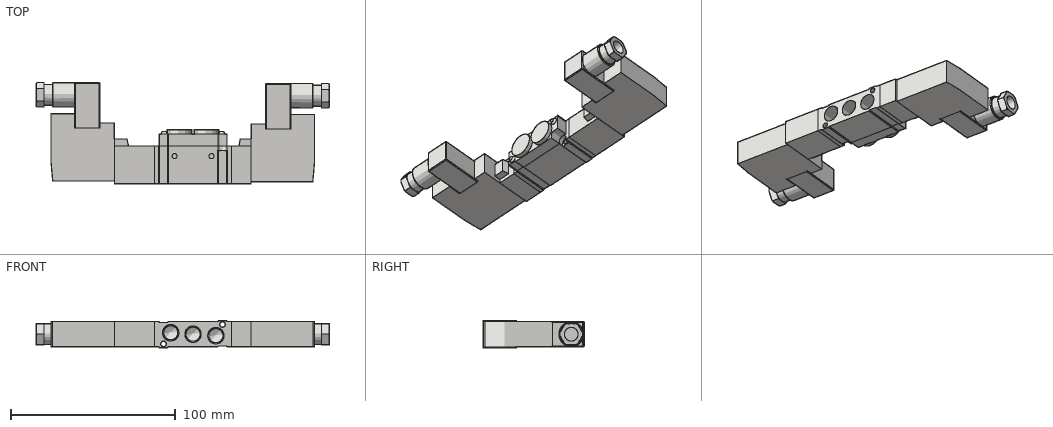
import cadquery as cq
import math


length = 177.8
thickness = 15.5
half_thickness = thickness / 2
edge_chamfer = 0.5

body_length = 46.8
body_depth = 23.1
body_center_x = 6.2
body_left = body_center_x - body_length / 2
body_right = body_center_x + body_length / 2

lug_step = 0.5
lug_inner = 15.0
lug_outer = 20.8
lug_middle = (lug_inner + lug_outer) / 2
lug_depth = 20.3
mount_hole_diameter = 3.2
mount_hole_z = 5.9
head_slot_radius = 2.7

port_offsets = [(-13.5, 0.9), (0.0, 0.0), (13.9, -0.9)]
port_diameter = 10.0
port_depth = 10.7
drill_point_diameter = 8.5
drill_point_angle = 118.0

pin_hole_diameter = 3.0
pin_hole_depth = 1.8
pin_hole_spacing = 22.4
pin_hole_y = 16.9

cover_length = 41.2
cover_depth = 7.1
cover_back = body_depth + cover_depth
boss_diameter = 15.0
boss_height = 2.7
boss_spacing = 16.4
screw_offset_x = 17.5
screw_z = 4.5
screw_base_radius = 2.1
screw_top_radius = 1.2
screw_height = 1.6

solenoid_inner = 41.5
solenoid_outer = 80.0
solenoid_front = 1.8
solenoid_low_back = 37.0
solenoid_high_back = 42.7
taper_back = 13.9
taper_inset = 1.0
right_shift_y = -0.5

override_back = 27.4
override_half_height = 4.8
override_slope = 0.9
left_override_length = 8.5
right_override_length = 7.5

connector_inner = 50.1
connector_outer = 65.6
connector_front = 33.8
connector_back = 61.5
barrel_end = 79.1
barrel_diameter = 15.0
barrel_y = connector_back - barrel_diameter / 2

hex_start = 84.1
gland_end = length / 2
gland_neck_diameter = 12.8
hex_across_flats = 13.0
gland_bore_diameter = 8.4


def box(x_range, y_range, z_range):
    """Axis-aligned box between the given limits."""
    size = [high - low for low, high in (x_range, y_range, z_range)]
    corner = (x_range[0], y_range[0], z_range[0])
    return cq.Workplane("XY").box(*size, centered=False).translate(corner)


def full_height_block(x_range, y_range):
    return box(x_range, y_range, (-half_thickness, half_thickness))


def cylinder_along_y(x, z, diameter, y_start, y_end):
    solid = cq.Solid.makeCylinder(diameter / 2, y_end - y_start, cq.Vector(x, y_start, z), cq.Vector(0, 1, 0))
    return cq.Workplane(solid)


def cylinder_along_x(y, diameter, x_start, x_end):
    solid = cq.Solid.makeCylinder(diameter / 2, x_end - x_start, cq.Vector(x_start, y, 0), cq.Vector(1, 0, 0))
    return cq.Workplane(solid)


def half_turn(part):
    """Turn a feature of the right lug into the matching feature of the left lug."""
    return part.rotate((body_center_x, 0, 0), (body_center_x, 1, 0), 180)


def raised_strip(foot_z, y_range):
    """Strip along Y that rises from foot_z by the lug step, with 45 degree sides."""
    profile = [
        (lug_inner, foot_z),
        (lug_inner + lug_step, foot_z + lug_step),
        (lug_outer - lug_step, foot_z + lug_step),
        (lug_outer, foot_z),
    ]
    sketch = cq.Workplane("XZ", origin=(body_center_x, y_range[0], 0))
    return sketch.polyline(profile).close().extrude(y_range[0] - y_range[1])


def lower_recess(y_range):
    """Shallow channel in the underside, opposite the right lug."""
    return raised_strip(-half_thickness, y_range)


def mounting_hole():
    return cylinder_along_y(body_center_x + lug_middle, mount_hole_z, mount_hole_diameter, 0, cover_back)


def head_slot():
    """Round-bottomed slot, open at the top, from the lug to the back of the cover."""
    x = body_center_x + lug_middle
    y_range = (lug_depth, cover_back)
    slot_top = half_thickness + lug_step
    x_range = (x - head_slot_radius, x + head_slot_radius)
    round_bottom = cylinder_along_y(x, mount_hole_z, 2 * head_slot_radius, *y_range)
    return round_bottom.union(box(x_range, y_range, (mount_hole_z, slot_top)))


def port_cutter(x, z):
    """Round port with a flat shoulder and a conical drill point, revolved about Y."""
    radius = port_diameter / 2
    point_radius = drill_point_diameter / 2
    tip_depth = port_depth + point_radius / math.tan(math.radians(drill_point_angle / 2))
    profile = [(0, 0), (0, radius), (port_depth, radius), (port_depth, point_radius), (tip_depth, 0)]
    cutter = cq.Workplane("YZ").polyline(profile).close().revolve(360, (0, 0, 0), (1, 0, 0))
    return cutter.translate((x, 0, z))


def make_valve_body():
    body = full_height_block((body_left, body_right), (0, body_depth))
    lug = raised_strip(half_thickness, (0, lug_depth))
    recess = lower_recess((0, body_depth))
    hole = mounting_hole()
    slot = head_slot()
    body = body.union(lug).union(half_turn(lug))
    for cutter in (recess, hole, slot):
        body = body.cut(cutter).cut(half_turn(cutter))
    for offset_x, z in port_offsets:
        body = body.cut(port_cutter(body_center_x + offset_x, z))
    pin_holes = (
        cq.Workplane("XY", origin=(body_center_x, pin_hole_y, half_thickness))
        .rarray(pin_hole_spacing, 1.8, 2, 1)
        .circle(pin_hole_diameter / 2)
        .extrude(-pin_hole_depth)
    )
    return body.cut(pin_holes)


def cover_screw():
    """Tapered screw head on the back of the cover, lower right."""
    base = cq.Vector(body_center_x + screw_offset_x, cover_back, -screw_z)
    head = cq.Solid.makeCone(screw_base_radius, screw_top_radius, screw_height, base, cq.Vector(0, 1, 0))
    return cq.Workplane(head)


def make_cover():
    x_range = (body_center_x - cover_length / 2, body_center_x + cover_length / 2)
    y_range = (body_depth, cover_back)
    cover = full_height_block(x_range, y_range)
    corner = box(
        (body_center_x + lug_middle, x_range[1]),
        y_range,
        (mount_hole_z - head_slot_radius, half_thickness),
    )
    for cutter in (lower_recess(y_range), head_slot(), corner):
        cover = cover.cut(cutter).cut(half_turn(cutter))
    for side in (-1, 1):
        x = body_center_x + side * boss_spacing / 2
        cover = cover.union(cylinder_along_y(x, 0, boss_diameter, cover_back, cover_back + boss_height))
    screw = cover_screw()
    return cover.union(screw).union(half_turn(screw))


def make_adapter(inner_x, override_length):
    """Adapter from the body end to the solenoid, with a sloped manual override at its back (right side)."""
    adapter = full_height_block((inner_x, solenoid_inner), (0, body_depth))
    override_profile = [
        (solenoid_inner, body_depth),
        (solenoid_inner - override_length, body_depth),
        (solenoid_inner - override_length + override_slope, override_back),
        (solenoid_inner, override_back),
    ]
    override = cq.Workplane("XY").polyline(override_profile).close().extrude(override_half_height, both=True)
    return adapter.union(override)


def make_solenoid():
    """Right-hand solenoid: stepped block with a tapered outer end and a seat for the connector."""
    profile = [
        (solenoid_inner, solenoid_front),
        (solenoid_outer - taper_inset, solenoid_front),
        (solenoid_outer, taper_back),
        (solenoid_outer, solenoid_high_back),
        (connector_outer, solenoid_high_back),
        (connector_outer, connector_front),
        (connector_inner, connector_front),
        (connector_inner, solenoid_low_back),
        (solenoid_inner, solenoid_low_back),
    ]
    return cq.Workplane("XY").polyline(profile).close().extrude(half_thickness, both=True)


def make_connector():
    """Right-hand connector: chamfered block with a round barrel pointing outward."""
    block = full_height_block((connector_inner, connector_outer), (connector_front, connector_back))
    block = block.edges("not <Y").chamfer(edge_chamfer)
    barrel = cylinder_along_x(barrel_y, barrel_diameter, connector_outer, barrel_end)
    barrel = barrel.faces(">X").chamfer(edge_chamfer)
    return block.union(barrel)


def make_gland():
    """Right-hand cable gland: round neck and hexagon with a through bore."""
    hex_across_corners = hex_across_flats / math.cos(math.pi / 6)
    hexagon = (
        cq.Workplane("YZ", origin=(hex_start, barrel_y, 0))
        .polygon(6, hex_across_corners)
        .extrude(gland_end - hex_start)
    )
    corner_limit = cylinder_along_x(barrel_y, hex_across_corners, hex_start, gland_end)
    corner_limit = corner_limit.faces(">X").chamfer(edge_chamfer)
    neck = cylinder_along_x(barrel_y, gland_neck_diameter, barrel_end, hex_start)
    bore = cylinder_along_x(barrel_y, gland_bore_diameter, barrel_end, gland_end)
    return hexagon.intersect(corner_limit).union(neck).cut(bore)


def place_right(part):
    return part.translate((0, right_shift_y, 0))


def place_left(part):
    return part.mirror("YZ")


valve_body = make_valve_body()
cover = make_cover()
left_adapter = place_left(make_adapter(-body_left, left_override_length))
right_adapter = make_adapter(body_right, right_override_length)

end_parts = []
for make_part in (make_solenoid, make_connector, make_gland):
    for place in (place_left, place_right):
        end_parts.append(place(make_part()).val())

result = cq.Compound.makeCompound(
    [valve_body.val(), cover.val(), left_adapter.val(), right_adapter.val(), *end_parts]
)